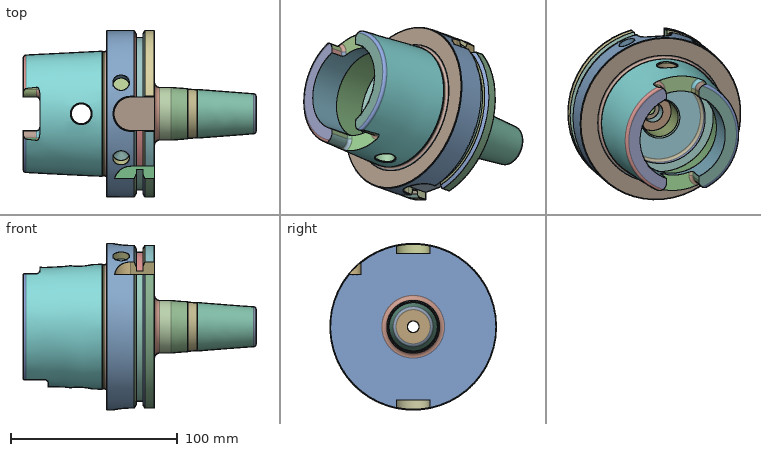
import cadquery as cq
import math

LENGTH = 139.9

SHANK_LENGTH = 50.0
TAPER_LENGTH = 47.2
SHANK_MOUTH_R = 35.3
SHANK_ROOT_R = 37.6
MOUTH_ROUND = 1.8
RELIEF_R = 37.4
RELIEF_START = 48.0
RELIEF_END = 48.8
FACE_RECESS_R = 39.2
FACE_RECESS_DEPTH = 0.1

FLANGE_R = 100.0 / 2
FLANGE_END = 78.9
FLANGE_CHAMFER = 0.4
GROOVE_START = 66.6
GROOVE_END = 73.0
GROOVE_FLANK = 1.3
GROOVE_FLANK_DEPTH = 2.2
GROOVE_BOTTOM_R = 45.9

NECK_R = 31.8 / 2
NECK_FILLET = 3.0
NECK_END = 88.8
NOSE_ANGLE = 4.4
NOSE_ROUND = 1.8
RING_START = 98.5
RING_END = 104.7
RING_FLANK = 0.4
RING_DEPTH = 0.21

MAIN_BORE_R = 53.0 / 2
MAIN_BORE_DEPTH = 50.4
UNDERCUT_START = 20.0
UNDERCUT_END = 45.5
UNDERCUT_R = 63.0 / 2
UNDERCUT_FLANK_ANGLE = 60.0
UNDERCUT_FLANK = (UNDERCUT_R - MAIN_BORE_R) / math.tan(math.radians(UNDERCUT_FLANK_ANGLE))
MAIN_BORE_FILLET = 1.7
TUBE_BORE_R = 22.4 / 2
TUBE_BORE_DEPTH = 16.8
TUBE_BORE_CHAMFER = 0.8
STEP_BORE_R = 12.0 / 2
STEP_BORE_DEPTH = 8.4
COOLANT_R = 6.9 / 2

SHANK_SLOT_HALF_WIDTH = 10.1
SHANK_SLOT_FLARE_R = 4.5
SHANK_SLOT_FLARE_Z = 27.4
SHANK_SLOT_FLOOR_FILLET = 2.0
UPPER_SHANK_SLOT_DEPTH = 10.0
LOWER_SHANK_SLOT_DEPTH = 15.0

CROSS_HOLE_X = 34.8
CROSS_HOLE_R = 11.9 / 2
CROSS_HOLE_CHAMFER = 0.5

FLANGE_SLOT_R = 20.0 / 2
FLANGE_SLOT_CENTER_X = 64.5
FLANGE_SLOT_FLOOR = 44.0
FLANGE_SLOT_CHAMFER = 0.5
CORNER_SLOT_WALL_Y = 31.5
CORNER_SLOT_FLOOR = 31.3

RIM_HOLE_X = 58.8
RIM_HOLE_R = 10.0 / 2
RIM_HOLE_FLOOR_R = 44.9
FLAT_HOLE_ANGLE = 22.0
DRILLED_HOLE_ANGLE = -32.0
DRILL_POINT_ANGLE = 118.0

CLEAR = 14.0
EDGE_MARGIN = 0.3


def revolve(profile):
    """Turn a closed XY profile about the X axis."""
    return profile.close().revolve(360, (0, 0, 0), (1, 0, 0))


def shank():
    """Solid taper shank with a relief at its root, carried on as a core through the flange."""
    recess_floor = SHANK_LENGTH + FACE_RECESS_DEPTH
    root_fillet = recess_floor - RELIEF_END
    root_r = RELIEF_R + root_fillet
    body = revolve(
        cq.Workplane("XY")
        .lineTo(0, SHANK_MOUTH_R)
        .lineTo(TAPER_LENGTH, SHANK_ROOT_R)
        .lineTo(RELIEF_START, RELIEF_R)
        .lineTo(RELIEF_END, RELIEF_R)
        .radiusArc((recess_floor, root_r), -root_fillet)
        .lineTo(FLANGE_END, root_r)
        .lineTo(FLANGE_END, 0)
    )
    return body.faces("<X").edges().fillet(MOUTH_ROUND)


def flange():
    """Flange disc with chamfered rims and a shallow recess around the shank root."""
    face = cq.Workplane("YZ", origin=(SHANK_LENGTH, 0, 0))
    disc = face.circle(FLANGE_R).extrude(FLANGE_END - SHANK_LENGTH).edges().chamfer(FLANGE_CHAMFER)
    return disc.cut(face.circle(FACE_RECESS_R).extrude(FACE_RECESS_DEPTH))


def gripper_groove():
    """Ring cutter with sloping flanks and a straight-sided bottom."""
    shoulder_r = FLANGE_R - GROOVE_FLANK_DEPTH
    outer_r = FLANGE_R + CLEAR
    left = GROOVE_START + GROOVE_FLANK
    right = GROOVE_END - GROOVE_FLANK
    return revolve(
        cq.Workplane("XY")
        .moveTo(GROOVE_START, outer_r)
        .lineTo(GROOVE_START, FLANGE_R)
        .lineTo(left, shoulder_r)
        .lineTo(left, GROOVE_BOTTOM_R)
        .lineTo(right, GROOVE_BOTTOM_R)
        .lineTo(right, shoulder_r)
        .lineTo(GROOVE_END, FLANGE_R)
        .lineTo(GROOVE_END, outer_r)
    )


def nose_radius(x):
    """Outer radius of the nose cone at x."""
    return NECK_R - (x - NECK_END) * math.tan(math.radians(NOSE_ANGLE))


def nose():
    """Neck and tapered nose, rooted inside the flange."""
    fillet_end = FLANGE_END + NECK_FILLET
    body = revolve(
        cq.Workplane("XY")
        .moveTo(GROOVE_END, 0)
        .lineTo(GROOVE_END, NECK_R + NECK_FILLET)
        .lineTo(FLANGE_END, NECK_R + NECK_FILLET)
        .radiusArc((fillet_end, NECK_R), -NECK_FILLET)
        .lineTo(NECK_END, NECK_R)
        .lineTo(RING_START, nose_radius(RING_START))
        .lineTo(RING_START + RING_FLANK, nose_radius(RING_START + RING_FLANK) - RING_DEPTH)
        .lineTo(RING_END - RING_FLANK, nose_radius(RING_END - RING_FLANK) - RING_DEPTH)
        .lineTo(RING_END, nose_radius(RING_END))
        .lineTo(LENGTH, nose_radius(LENGTH))
        .lineTo(LENGTH, 0)
    )
    return body.faces(">X").edges().fillet(NOSE_ROUND)


def axial_bores():
    """Undercut main bore, then a coolant tube bore stepping down to a through passage."""
    fillet_start = MAIN_BORE_DEPTH - MAIN_BORE_FILLET
    main = revolve(
        cq.Workplane("XY")
        .lineTo(0, MAIN_BORE_R)
        .lineTo(UNDERCUT_START, MAIN_BORE_R)
        .lineTo(UNDERCUT_START + UNDERCUT_FLANK, UNDERCUT_R)
        .lineTo(UNDERCUT_END, UNDERCUT_R)
        .lineTo(UNDERCUT_END, MAIN_BORE_R)
        .lineTo(fillet_start, MAIN_BORE_R)
        .radiusArc((MAIN_BORE_DEPTH, MAIN_BORE_R - MAIN_BORE_FILLET), MAIN_BORE_FILLET)
        .lineTo(MAIN_BORE_DEPTH, 0)
    )
    tube_end = MAIN_BORE_DEPTH + TUBE_BORE_DEPTH
    step_end = tube_end + STEP_BORE_DEPTH
    stepped = revolve(
        cq.Workplane("XY")
        .lineTo(0, TUBE_BORE_R)
        .lineTo(MAIN_BORE_DEPTH, TUBE_BORE_R + TUBE_BORE_CHAMFER)
        .lineTo(MAIN_BORE_DEPTH + TUBE_BORE_CHAMFER, TUBE_BORE_R)
        .lineTo(tube_end, TUBE_BORE_R)
        .lineTo(tube_end, STEP_BORE_R)
        .lineTo(step_end, STEP_BORE_R)
        .lineTo(step_end, COOLANT_R)
        .lineTo(LENGTH, COOLANT_R)
        .lineTo(LENGTH, 0)
    )
    return main.union(stepped)


def shank_slot(depth):
    """Mouth slot on the +Z side: straight walls that flare outwards, with a filleted floor."""
    flare_y = SHANK_SLOT_HALF_WIDTH + SHANK_SLOT_FLARE_R
    flare_z = SHANK_SLOT_FLARE_Z + SHANK_SLOT_FLARE_R
    outer_y = flare_y + CLEAR
    outer_z = SHANK_ROOT_R + CLEAR
    cutter = (
        cq.Workplane("YZ")
        .moveTo(-SHANK_SLOT_HALF_WIDTH, 0)
        .lineTo(SHANK_SLOT_HALF_WIDTH, 0)
        .lineTo(SHANK_SLOT_HALF_WIDTH, SHANK_SLOT_FLARE_Z)
        .radiusArc((flare_y, flare_z), SHANK_SLOT_FLARE_R)
        .lineTo(outer_y, flare_z)
        .lineTo(outer_y, outer_z)
        .lineTo(-outer_y, outer_z)
        .lineTo(-outer_y, flare_z)
        .lineTo(-flare_y, flare_z)
        .radiusArc((-SHANK_SLOT_HALF_WIDTH, SHANK_SLOT_FLARE_Z), SHANK_SLOT_FLARE_R)
        .close()
        .extrude(depth)
    )
    return cutter.faces(">X").edges().fillet(SHANK_SLOT_FLOOR_FILLET)


def flange_slot(center_y, floor_z):
    """Round-ended slot open at the nose side of the flange, with a flat floor facing +Z."""
    run = FLANGE_END - FLANGE_SLOT_CENTER_X + CLEAR
    return (
        cq.Workplane("XY", origin=(FLANGE_SLOT_CENTER_X, center_y, floor_z))
        .moveTo(0, FLANGE_SLOT_R)
        .lineTo(run, FLANGE_SLOT_R)
        .lineTo(run, -FLANGE_SLOT_R)
        .lineTo(0, -FLANGE_SLOT_R)
        .threePointArc((-FLANGE_SLOT_R, 0), (0, FLANGE_SLOT_R))
        .close()
        .extrude(FLANGE_R)
    )


def cross_hole():
    plane = cq.Workplane("XY", origin=(CROSS_HOLE_X, 0, 0))
    return plane.circle(CROSS_HOLE_R).extrude(SHANK_ROOT_R, both=True)


def rim_hole(angle, point_length):
    """Blind radial hole in the flange rim; a point_length above zero adds a drill point."""
    profile = (
        cq.Workplane("XZ")
        .moveTo(0, RIM_HOLE_FLOOR_R - point_length)
        .lineTo(RIM_HOLE_R, RIM_HOLE_FLOOR_R)
        .lineTo(RIM_HOLE_R, FLANGE_R + CLEAR)
        .lineTo(0, FLANGE_R + CLEAR)
        .close()
    )
    hole = profile.revolve(360, (0, 0, 0), (0, 1, 0))
    return hole.translate((RIM_HOLE_X, 0, 0)).rotate((0, 0, 0), (1, 0, 0), -angle)


def chamfer_openings(body, x_max, half_width, z_min, size):
    """Chamfer the edges lying beyond z_min on both the +Z and -Z sides of the body."""
    upper = cq.selectors.BoxSelector((0, -half_width, z_min), (x_max, half_width, LENGTH), True)
    lower = cq.selectors.BoxSelector((0, -half_width, -LENGTH), (x_max, half_width, -z_min), True)
    return body.edges(upper + lower).chamfer(size)


pierced_shank = chamfer_openings(
    shank().cut(cross_hole()),
    TAPER_LENGTH - EDGE_MARGIN,
    CROSS_HOLE_R + EDGE_MARGIN,
    UNDERCUT_R,
    CROSS_HOLE_CHAMFER,
)

top_slot = flange_slot(0, FLANGE_SLOT_FLOOR)
slotted_flange = chamfer_openings(
    flange().cut(top_slot).cut(top_slot.mirror("XY")),
    FLANGE_END - EDGE_MARGIN,
    FLANGE_SLOT_R + EDGE_MARGIN,
    FLANGE_SLOT_FLOOR + EDGE_MARGIN,
    FLANGE_SLOT_CHAMFER,
)

result = slotted_flange.union(pierced_shank).union(nose())
result = result.cut(gripper_groove()).cut(axial_bores())

result = result.cut(shank_slot(UPPER_SHANK_SLOT_DEPTH))
result = result.cut(shank_slot(LOWER_SHANK_SLOT_DEPTH).mirror("XY"))

result = result.cut(flange_slot(-CORNER_SLOT_WALL_Y - FLANGE_SLOT_R, CORNER_SLOT_FLOOR))
drill_point = RIM_HOLE_R / math.tan(math.radians(DRILL_POINT_ANGLE / 2))
result = result.cut(rim_hole(FLAT_HOLE_ANGLE, 0))
result = result.cut(rim_hole(DRILLED_HOLE_ANGLE, drill_point))